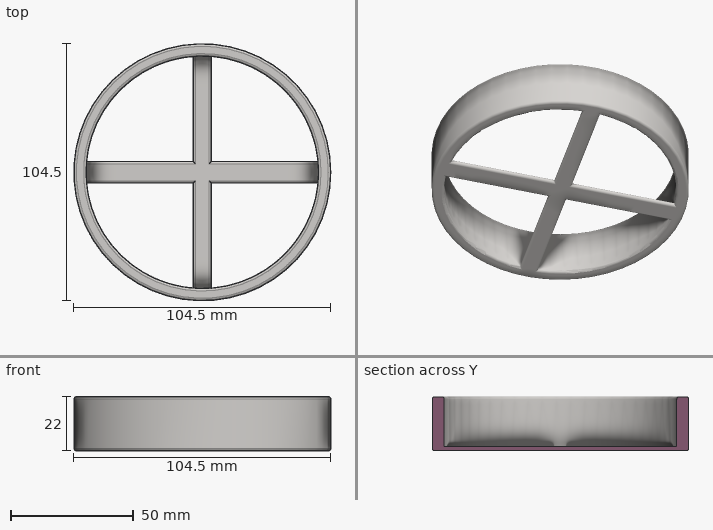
import cadquery as cq

outer_diameter = 104.5
inner_diameter = 94.5
height = 22.0
rim_radius = 1.0

x_bar_width = 8.8
y_bar_width = 7.4
bar_thickness = 2.0
bar_edge_radius = 0.9

bar_length = (inner_diameter + outer_diameter) / 2


def make_ring():
    """Plain ring with its outer and inner rims rounded at both ends."""
    ring = cq.Workplane("XY").circle(outer_diameter / 2).circle(inner_diameter / 2).extrude(height)
    return ring.faces("|Z").edges().fillet(rim_radius)


def make_cross():
    """Two crossed bars with rounded upper and lower edges."""
    x_bar = cq.Workplane("XY").rect(bar_length, x_bar_width).extrude(bar_thickness)
    y_bar = cq.Workplane("XY").rect(y_bar_width, bar_length).extrude(bar_thickness)
    cross = x_bar.union(y_bar)
    long_edges = cq.selectors.BoxSelector(
        (-inner_diameter / 2, -inner_diameter / 2, -bar_thickness),
        (inner_diameter / 2, inner_diameter / 2, 2 * bar_thickness),
    )
    return cross.faces("|Z").edges(long_edges).fillet(bar_edge_radius)


result = make_ring().union(make_cross())